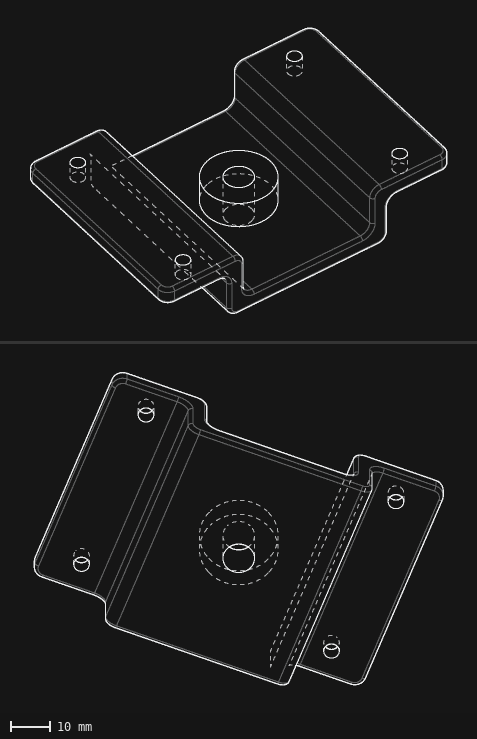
import cadquery as cq

width = 60.0
length = 90.0
height = 19.5
thickness = 5.0

channel_length = 40.0
bend_radius = 3.0
corner_radius = 3.0
edge_radius = 1.0

boss_diameter = 20.0
boss_bore = 8.0
boss_height = 8.0

mount_hole_diameter = 4.0
mount_spacing_x = 45.4
mount_spacing_y = 68.0

half_length = length / 2
inner_wall_y = channel_length / 2
outer_wall_y = inner_wall_y + thickness
flange_underside = height - thickness


def bracket_body():
    """Constant-section bent plate with rounded bends, corners and rims."""
    half_profile = [
        (outer_wall_y, 0),
        (outer_wall_y, flange_underside),
        (half_length, flange_underside),
        (half_length, height),
        (inner_wall_y, height),
        (inner_wall_y, thickness),
    ]
    mirrored_half = [(-y, z) for y, z in reversed(half_profile)]
    body = (
        cq.Workplane("YZ")
        .polyline(half_profile + mirrored_half)
        .close()
        .extrude(width / 2, both=True)
    )

    bend_zone = cq.selectors.BoxSelector(
        (-width, -outer_wall_y - thickness, -height),
        (width, outer_wall_y + thickness, 2 * height),
    )
    bends = body.edges("|X").edges(bend_zone)
    body = bends.fillet(bend_radius)

    flange_corners = body.faces("<Y or >Y").edges("|Z")
    body = flange_corners.fillet(corner_radius)

    rim_starts = body.faces("<Y or >Y").edges("|X")
    return rim_starts.fillet(edge_radius)


def boss():
    """Round boss standing on the channel floor."""
    return (
        cq.Workplane("XY")
        .workplane(offset=thickness)
        .circle(boss_diameter / 2)
        .extrude(boss_height)
    )


def through_holes():
    """Cutters for the boss bore and the four flange holes."""
    bore = cq.Workplane("XY").circle(boss_bore / 2).extrude(height)
    mounts = (
        cq.Workplane("XY")
        .rect(mount_spacing_x, mount_spacing_y, forConstruction=True)
        .vertices()
        .circle(mount_hole_diameter / 2)
        .extrude(height)
    )
    return bore.union(mounts)


result = bracket_body().union(boss()).cut(through_holes())